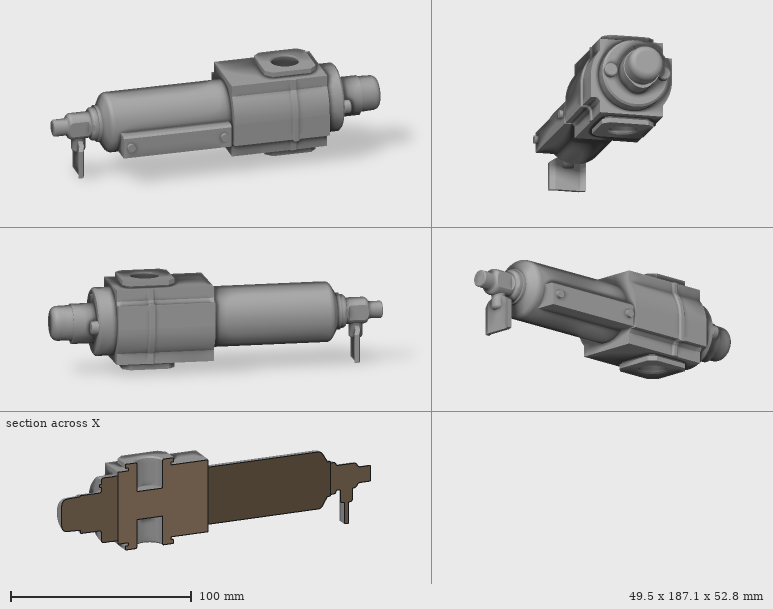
import cadquery as cq
import math


overall_width = 49.5
overall_length = 187.1
overall_height = 52.8

housing_top_y = 19.3
housing_bottom_y = -35.5
housing_half_height = 21.1
housing_radius = 46.5 / 2
side_flat_x = 18.0
shelf_z = 12.7

bead_height = 0.85
bead_base_half_width = 2.2
bead_tip_half_width = 1.1

pad_face_z = 50.3 / 2
pad_thickness = 2.6
pad_size = 29.4
pad_corner = 3.7
neck_size = 26.2
neck_corner = 2.2
port_diameter = 15.2
port_chamfer = 0.85
port_depth = 16.8

flange_top_y = 29.4
flange_base_radius = 38.4 / 2
flange_top_radius = 19.0
flange_chamfer = 1.1
collar_radius = 21.1 / 2
collar_base_fillet = 1.0
collar_top_y = 42.0
collar_tip_radius = 7.3
knob_base_radius = 20.0 / 2
knob_tip_radius = 9.5
knob_top_y = 53.3
knob_round = 3.7
bolt_x = 15.2
bolt_head_diameter = 7.3
bolt_head_height = 4.0
bolt_chamfer = 0.5
pointer_half_width = 1.5
pointer_outer_z = 15.5
pointer_inner_z = 11.6
pointer_height = 1.1

bowl_radius = 16.8
bowl_straight_end_y = -102.2
shoulder_start = (15.0, -104.8)
shoulder_round_mid = (16.3, -103.7)
bowl_ring_radius = 10.3
bowl_ring_top_y = -107.5
bowl_end_y = -109.5

plate_top_y = -37.2
plate_bottom_y = -99.4
plate_chamfer = 1.1
screw_diameter = 4.5
screw_end_x = overall_width - housing_radius - bead_height
screw_inset = 4.1

drain_ring_radius = 9.4
drain_ring_end_y = -111.0
drain_ring_round_mid = (8.8, -112.5)
drain_radius = 14.8 / 2
drain_neck_y = -113.0
drain_shoulder_y = -123.5
drain_shoulder_mid = (7.0, -124.8)
drain_shoulder_end = (6.0, -125.5)
outlet_fillet_mid = (5.2, -126.1)
drain_flat_x = 12.2 / 2
drain_flat_top_y = -114.7
drain_flat_end_y = -125.5
outlet_radius = 9.5 / 2
outlet_top_y = -127.5
outlet_chamfer = 0.5
outlet_end_y = knob_top_y - overall_length

handle_y = -119.0
stem_radius = 4.0
stem_end_z = -15.2
stem_round = 1.9
handle_half_width = 20.4 / 2
handle_flat_half_width = 14.0 / 2
handle_bottom_z = pad_face_z - overall_height
handle_thickness = 2.6
wing_offset = 1.3
handle_shoulder_z = -11.6
handle_root_z = -7.9


def cylinder_y(radius, y_start, y_end, x=0, z=0):
    """Cylinder along Y between two Y positions."""
    length = y_end - y_start
    return cq.Workplane("XZ", origin=(x, y_start, z)).circle(radius).extrude(-length)


def revolve_y(profile):
    """Turn a closed half profile, drawn as (radius, Y), about the Y axis."""
    return profile.close().revolve(360, (0, 0, 0), (0, 1, 0))


def housing_outline(workplane, grow=0):
    """Section of the housing, the same after half a turn, with its side walls moved out by grow."""
    radius = housing_radius + grow
    flat = side_flat_x + grow
    shelf = shelf_z + grow
    shelf_x = math.sqrt(radius**2 - shelf**2)
    flat_z = math.sqrt(radius**2 - flat**2)
    upper_angle = (math.atan2(flat_z, flat) + math.atan2(shelf, shelf_x)) / 2
    lower_angle = math.atan2(flat_z, flat) / 2
    upper_mid = (radius * math.cos(upper_angle), radius * math.sin(upper_angle))
    lower_mid = (radius * math.cos(lower_angle), radius * math.sin(lower_angle))
    return (
        workplane
        .moveTo(-flat, housing_half_height)
        .lineTo(-flat, flat_z)
        .threePointArc((-upper_mid[0], upper_mid[1]), (-shelf_x, shelf))
        .lineTo(-radius, shelf)
        .lineTo(-radius, 0)
        .threePointArc((-lower_mid[0], -lower_mid[1]), (-flat, -flat_z))
        .lineTo(-flat, -housing_half_height)
        .lineTo(flat, -housing_half_height)
        .lineTo(flat, -flat_z)
        .threePointArc((upper_mid[0], -upper_mid[1]), (shelf_x, -shelf))
        .lineTo(radius, -shelf)
        .lineTo(radius, 0)
        .threePointArc(lower_mid, (flat, flat_z))
        .lineTo(flat, housing_half_height)
        .close()
    )


def make_bead():
    """Bead with sloped flanks that follows the housing outline."""
    flank_width = bead_base_half_width - bead_tip_half_width
    middle = housing_outline(cq.Workplane("XZ", origin=(0, bead_tip_half_width, 0)), bead_height)
    bead = middle.extrude(2 * bead_tip_half_width)
    for side in (-1, 1):
        base = cq.Workplane("XZ", origin=(0, side * bead_base_half_width, 0))
        flank = housing_outline(base).workplane(offset=side * flank_width)
        bead = bead.union(housing_outline(flank, bead_height).loft(ruled=True))
    return bead


def make_port_pad():
    """Square pad with cut corners on a smaller neck, on the top of the housing."""
    neck_height = pad_face_z - pad_thickness - housing_half_height
    neck = (
        cq.Workplane("XY", origin=(0, 0, housing_half_height))
        .rect(neck_size, neck_size)
        .extrude(neck_height)
        .edges("|Z")
        .chamfer(neck_corner)
    )
    pad = (
        cq.Workplane("XY", origin=(0, 0, pad_face_z - pad_thickness))
        .rect(pad_size, pad_size)
        .extrude(pad_thickness)
        .edges("|Z")
        .chamfer(pad_corner)
    )
    return neck.union(pad)


def make_port():
    """Blind port bore with a chamfered mouth, sunk from the pad face."""
    radius = port_diameter / 2
    bore = cq.Workplane("XY", origin=(0, 0, pad_face_z)).circle(radius).extrude(-port_depth)
    mouth = cq.Workplane("XY").add(
        cq.Solid.makeCone(
            radius, radius + port_chamfer, port_chamfer, cq.Vector(0, 0, pad_face_z - port_chamfer)
        )
    )
    return bore.union(mouth)


def make_housing():
    length = housing_top_y - housing_bottom_y
    housing = housing_outline(cq.Workplane("XZ", origin=(0, housing_top_y, 0))).extrude(length)
    housing = housing.union(make_bead())
    for turn in (0, 180):
        housing = housing.union(make_port_pad().rotate((0, 0, 0), (0, 1, 0), turn))
        housing = housing.cut(make_port().rotate((0, 0, 0), (0, 1, 0), turn))
    return housing


def make_collar():
    """Drop-shaped collar: a circle whose 45 degree tangents meet in a rounded tip below."""
    slope = math.sqrt(0.5)
    tangent = collar_radius * slope
    tip_center_z = -(collar_radius - collar_tip_radius) / slope
    tip_x = collar_tip_radius * slope
    tip_z = tip_center_z - tip_x
    return (
        cq.Workplane("XZ", origin=(0, flange_top_y, 0))
        .moveTo(tangent, -tangent)
        .threePointArc((0, collar_radius), (-tangent, -tangent))
        .lineTo(-tip_x, tip_z)
        .threePointArc((0, tip_center_z - collar_tip_radius), (tip_x, tip_z))
        .close()
        .extrude(flange_top_y - collar_top_y)
    )


def make_knob():
    profile = (
        cq.Workplane("XY")
        .moveTo(0, collar_top_y)
        .lineTo(knob_base_radius, collar_top_y)
        .lineTo(knob_tip_radius, knob_top_y)
        .lineTo(0, knob_top_y)
    )
    return revolve_y(profile).faces(">Y").edges().fillet(knob_round)


def make_adjuster():
    profile = (
        cq.Workplane("XY")
        .moveTo(0, housing_top_y)
        .lineTo(flange_base_radius, housing_top_y)
        .lineTo(flange_top_radius, flange_top_y - flange_chamfer)
        .lineTo(flange_top_radius - flange_chamfer, flange_top_y)
        .lineTo(0, flange_top_y)
    )
    adjuster = revolve_y(profile).union(make_collar())
    flange_top = adjuster.faces("+Y").faces("<Y")
    collar_foot = flange_top.wires(cq.selectors.LengthNthSelector(0)).edges()
    adjuster = collar_foot.fillet(collar_base_fillet).union(make_knob())
    for x in (-bolt_x, bolt_x):
        head = cylinder_y(bolt_head_diameter / 2, flange_top_y, flange_top_y + bolt_head_height, x)
        adjuster = adjuster.union(head.faces(">Y").edges().chamfer(bolt_chamfer))
    pointer = (
        cq.Workplane("XZ", origin=(0, flange_top_y, 0))
        .moveTo(-pointer_half_width, pointer_outer_z)
        .lineTo(pointer_half_width, pointer_outer_z)
        .lineTo(0, pointer_inner_z)
        .close()
        .extrude(-pointer_height)
    )
    return adjuster.union(pointer)


def make_bowl():
    profile = (
        cq.Workplane("XY")
        .moveTo(0, housing_bottom_y)
        .lineTo(bowl_radius, housing_bottom_y)
        .lineTo(bowl_radius, bowl_straight_end_y)
        .threePointArc(shoulder_round_mid, shoulder_start)
        .lineTo(bowl_ring_radius, bowl_ring_top_y)
        .lineTo(bowl_ring_radius, bowl_end_y)
        .lineTo(0, bowl_end_y)
    )
    return revolve_y(profile)


def make_gauge_plate():
    """Plate that fits against the bowl, with a screw head near each end."""
    plate = (
        cq.Workplane("XY", origin=(0, plate_bottom_y, -shelf_z))
        .box(housing_radius, plate_top_y - plate_bottom_y, shelf_z, centered=False)
    )
    plate = plate.edges("|Y and >X and >Z").chamfer(plate_chamfer)
    plate = plate.cut(cylinder_y(bowl_radius, bowl_straight_end_y, housing_bottom_y))
    for y in (plate_top_y - screw_inset, plate_bottom_y + screw_inset):
        head = (
            cq.Workplane("YZ", origin=(housing_radius, y, -shelf_z / 2))
            .circle(screw_diameter / 2)
            .extrude(screw_end_x - housing_radius)
        )
        plate = plate.union(head)
    return plate


def make_drain_body():
    """Turned body with two side flats that run out in 45 degree ramps toward the bowl."""
    profile = (
        cq.Workplane("XY")
        .moveTo(0, bowl_end_y)
        .lineTo(drain_ring_radius, bowl_end_y)
        .lineTo(drain_ring_radius, drain_ring_end_y)
        .threePointArc(drain_ring_round_mid, (drain_radius, drain_neck_y))
        .lineTo(drain_radius, drain_shoulder_y)
        .threePointArc(drain_shoulder_mid, drain_shoulder_end)
        .threePointArc(outlet_fillet_mid, (outlet_radius, outlet_top_y))
        .lineTo(outlet_radius, outlet_end_y)
        .lineTo(0, outlet_end_y)
    )
    body = revolve_y(profile).faces("<Y").edges().chamfer(outlet_chamfer)
    ramp = drain_ring_radius - drain_flat_x
    flat_cut = (
        cq.Workplane("XY")
        .moveTo(drain_flat_x, drain_flat_end_y)
        .lineTo(drain_flat_x, drain_flat_top_y)
        .lineTo(drain_ring_radius, drain_flat_top_y + ramp)
        .lineTo(drain_ring_radius, drain_flat_end_y)
        .close()
        .extrude(drain_ring_radius, both=True)
    )
    return body.cut(flat_cut).cut(flat_cut.mirror("YZ"))


def make_handle():
    """Round stem with a flat handle whose wings are bent to opposite sides."""
    stem = cq.Workplane("XY", origin=(0, handle_y, 0)).circle(stem_radius).extrude(stem_end_z)
    stem = stem.faces("<Z").edges().fillet(stem_round)
    half = handle_thickness / 2
    blade = (
        cq.Workplane("XY", origin=(0, handle_y, handle_bottom_z))
        .moveTo(-handle_half_width, wing_offset + half)
        .lineTo(-handle_flat_half_width, half)
        .lineTo(handle_flat_half_width, half)
        .lineTo(handle_half_width, half - wing_offset)
        .lineTo(handle_half_width, -half - wing_offset)
        .lineTo(handle_flat_half_width, -half)
        .lineTo(-handle_flat_half_width, -half)
        .lineTo(-handle_half_width, wing_offset - half)
        .close()
        .extrude(handle_root_z - handle_bottom_z)
    )
    front = (
        cq.Workplane("XZ", origin=(0, handle_y, 0))
        .moveTo(-handle_half_width, handle_bottom_z)
        .lineTo(handle_half_width, handle_bottom_z)
        .lineTo(handle_half_width, handle_shoulder_z)
        .lineTo(stem_radius, handle_root_z)
        .lineTo(-stem_radius, handle_root_z)
        .lineTo(-handle_half_width, handle_shoulder_z)
        .close()
        .extrude(2 * stem_radius, both=True)
    )
    return stem.union(blade.intersect(front))


housing = make_housing()
adjuster = make_adjuster()
bowl = make_bowl()
gauge_plate = make_gauge_plate()
drain_valve = make_drain_body().union(make_handle())

result = cq.Compound.makeCompound(
    [housing.val(), adjuster.val(), bowl.val(), gauge_plate.val(), drain_valve.val()]
)